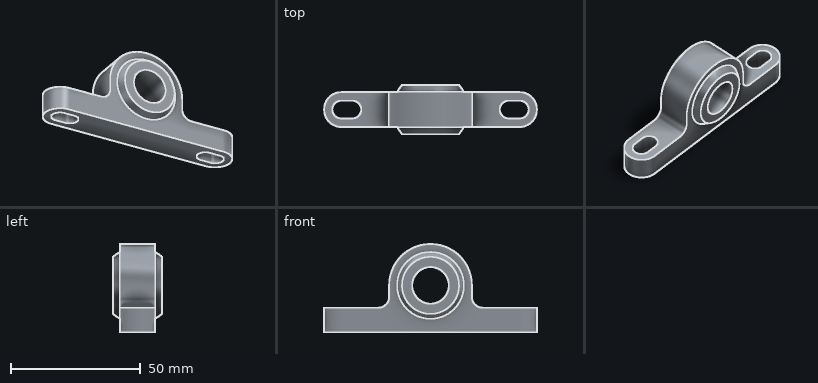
import cadquery as cq
import math

length = 82.0
thickness = 13.5
foot_height = 9.5
total_height = 34.0
eye_radius = 16.0
neck_fillet = 4.0
eye_height = total_height - eye_radius

slot_length = 11.1
slot_width = 6.7
slot_offset = 32.2

ball_width = 19.0
ball_face_radius = 11.0
bore_diameter = 14.0
ball_radius = math.hypot(ball_width / 2, ball_face_radius)


def make_ball_blank():
    """Solid ball with flat faces across Y, turned about the bore axis."""
    half_width = ball_width / 2
    return (
        cq.Workplane("YZ", origin=(0, 0, eye_height))
        .moveTo(-half_width, 0)
        .lineTo(-half_width, ball_face_radius)
        .threePointArc((0, ball_radius), (half_width, ball_face_radius))
        .lineTo(half_width, 0)
        .close()
        .revolve(360, (0, 0, 0), (1, 0, 0))
    )


def make_foot():
    """Plate with fully rounded ends."""
    return cq.Workplane("XY").slot2D(length, thickness).extrude(foot_height)


def make_eye():
    """Round-topped upright that blends into the top of the foot with fillets."""
    neck_start = eye_radius + neck_fillet
    fillet_top = foot_height + neck_fillet
    fillet_near = eye_radius + neck_fillet * (1 - math.sqrt(0.5))
    fillet_mid = foot_height + neck_fillet * (1 - math.sqrt(0.5))
    return (
        cq.Workplane("XZ")
        .moveTo(-neck_start, 0)
        .lineTo(-neck_start, foot_height)
        .threePointArc((-fillet_near, fillet_mid), (-eye_radius, fillet_top))
        .lineTo(-eye_radius, eye_height)
        .threePointArc((0, total_height), (eye_radius, eye_height))
        .lineTo(eye_radius, fillet_top)
        .threePointArc((fillet_near, fillet_mid), (neck_start, foot_height))
        .lineTo(neck_start, 0)
        .close()
        .extrude(thickness / 2, both=True)
    )


def make_slots():
    """Cutters for the two mounting slots, running along X."""
    return (
        cq.Workplane("XY")
        .pushPoints([(-slot_offset, 0), (slot_offset, 0)])
        .slot2D(slot_length, slot_width)
        .extrude(foot_height)
    )


def make_housing():
    """Foot and eye in one piece, with a spherical seat for the ball."""
    return make_foot().union(make_eye()).cut(make_slots()).cut(make_ball_blank())


def make_ball():
    """Ball with its bore running through along Y."""
    bore = (
        cq.Workplane("XZ", origin=(0, 0, eye_height))
        .circle(bore_diameter / 2)
        .extrude(ball_width / 2, both=True)
    )
    return make_ball_blank().cut(bore)


housing = make_housing()
ball = make_ball()

result = cq.Compound.makeCompound([housing.solids().val(), ball.solids().val()])